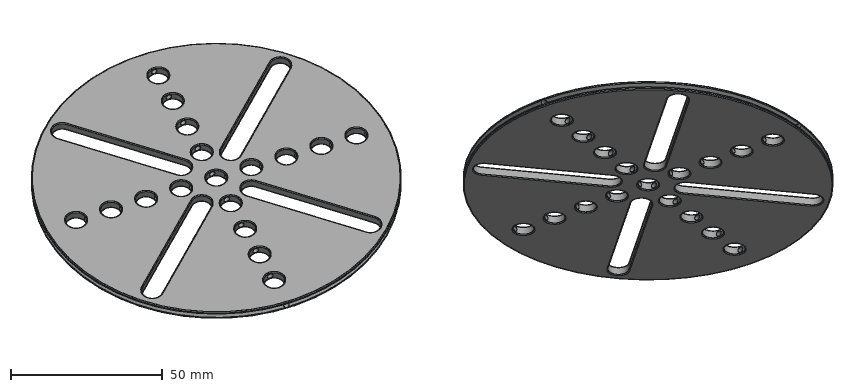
import cadquery as cq
import math

disc_diameter = 121.9
thickness = 3.2
edge_chamfer = 0.33
groove_width = 1.6
groove_depth = 1.0

hole_diameter = 7.0
holes_per_arm = 4
last_hole_radius = 50.0
hole_pitch = last_hole_radius / holes_per_arm

slot_width = hole_diameter
slot_inner_radius = hole_pitch
slot_outer_radius = 55.0

cross_bore_diameter = 2.0

disc_radius = disc_diameter / 2
half_thickness = thickness / 2
arm_angles = (0, 90, 180, 270)
diagonal_turn = 45


def polar_point(radius, angle):
    """Point at a distance from the disc centre, angle in degrees from +X."""
    direction = math.radians(angle)
    return (radius * math.cos(direction), radius * math.sin(direction))


def make_disc():
    """Disc centred on the origin with chamfered edges and a V-groove in its rim."""
    chamfer_radius = disc_radius - edge_chamfer
    land_height = half_thickness - edge_chamfer
    half_groove = groove_width / 2
    half_section = [
        (0, -half_thickness),
        (chamfer_radius, -half_thickness),
        (disc_radius, -land_height),
        (disc_radius, -half_groove),
        (disc_radius - groove_depth, 0),
        (disc_radius, half_groove),
        (disc_radius, land_height),
        (chamfer_radius, half_thickness),
        (0, half_thickness),
    ]
    disc = cq.Workplane("XZ").polyline(half_section).close().revolve(360, (0, 0), (0, 1))
    return disc.rotate((0, 0, 0), (0, 0, 1), diagonal_turn)


def hole_centres():
    """Centre hole plus a row of holes along each arm of the cross."""
    centres = [(0, 0)]
    for angle in arm_angles:
        for step in range(1, holes_per_arm + 1):
            centres.append(polar_point(step * hole_pitch, angle))
    return centres


def cut_openings(body):
    """Cut the holes and diagonal slots through the disc and chamfer them on both faces."""
    bottom = cq.Workplane("XY", origin=(0, 0, -half_thickness))
    holes = bottom.pushPoints(hole_centres()).circle(hole_diameter / 2)
    body = body.cut(holes.extrude(thickness))

    slot_length = slot_outer_radius - slot_inner_radius + slot_width
    slot_middle = (slot_inner_radius + slot_outer_radius) / 2
    for angle in arm_angles:
        diagonal = angle + diagonal_turn
        slot = bottom.center(*polar_point(slot_middle, diagonal))
        slot = slot.slot2D(slot_length, slot_width, diagonal)
        body = body.cut(slot.extrude(thickness))

    inside_rim = disc_radius - 2 * edge_chamfer
    picker = cq.selectors.BoxSelector(
        (-inside_rim, -inside_rim, -thickness),
        (inside_rim, inside_rim, thickness),
        boundingbox=True,
    )
    return body.faces("|Z").edges(picker).chamfer(edge_chamfer)


def cut_cross_bores(body):
    """Drill a bore at mid thickness from the centre hole out through the rim on each arm."""
    for angle in arm_angles:
        outward = cq.Plane(origin=(0, 0, 0), xDir=(0, 0, 1), normal=(*polar_point(1, angle), 0))
        bore = cq.Workplane(outward).circle(cross_bore_diameter / 2)
        body = body.cut(bore.extrude(disc_radius))
    return body


disc = make_disc()
disc = cut_openings(disc)
result = cut_cross_bores(disc)